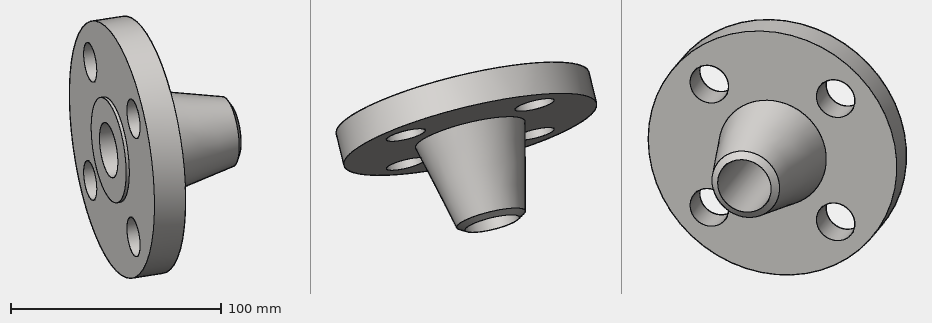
import cadquery as cq

flange_diameter = 124.0
flange_thickness = 15.7

face_diameter = 50.8
face_height = 1.6

neck_base_diameter = 53.7
neck_end_diameter = 33.7
overall_length = 62.1
bevel_length = 2.2

bore_diameter = 26.6
bolt_hole_diameter = 19.1
bolt_spacing = 63.0
bolt_count_per_side = 2

face_y = -face_height
neck_end_y = overall_length - face_height
bevel_start_y = neck_end_y - bevel_length


def flange_body():
    """Revolve the half section, bore included, about the Y axis."""
    section = [
        (bore_diameter / 2, face_y),
        (face_diameter / 2, face_y),
        (face_diameter / 2, 0),
        (flange_diameter / 2, 0),
        (flange_diameter / 2, flange_thickness),
        (neck_base_diameter / 2, flange_thickness),
        (neck_end_diameter / 2, bevel_start_y),
        (bore_diameter / 2, neck_end_y),
    ]
    profile = cq.Workplane("XY").polyline(section).close()
    return profile.revolve(360, (0, 0, 0), (0, 1, 0))


def bolt_holes():
    """Square pattern of through holes, running along +Y from the front plane."""
    return (
        cq.Workplane("XZ")
        .rarray(bolt_spacing, bolt_spacing, bolt_count_per_side, bolt_count_per_side)
        .circle(bolt_hole_diameter / 2)
        .extrude(-flange_thickness)
    )


result = flange_body().cut(bolt_holes())